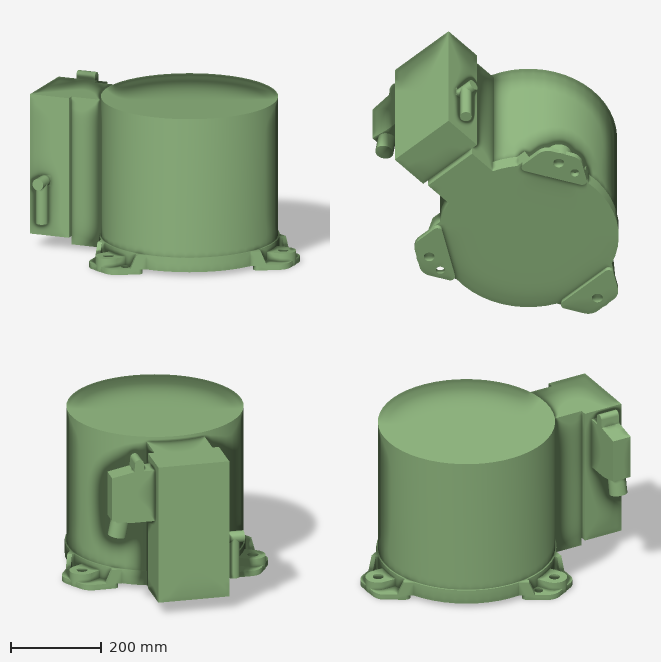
import cadquery as cq
import math

overall_height = 360.0
drum_diameter = 392.0
ring_radius = 199.5
ring_bottom = 11.0
ring_top = 44.0

box_outer_x = -348.0
box_inner_x = -255.5
box_width = 162.0
box_bottom = 29.5
box_top = 349.0
neck_width = 132.5

foot_spacing = 120.0
foot_inner_x = 181.0
foot_outer_x = 252.0
foot_edge_distance = 162.5
foot_edge_angle = 60.0
foot_inner_round = 11.0
foot_outer_round = 31.0
foot_plate_top = 12.5
rib_thickness = 11.0
rib_top_end = 138.5
rib_foot_end = 151.5
rib_root_width = 21.0
boss_x = 225.0
boss_radius = 28.0
boss_top = 31.0
boss_hole_diameter = 24.0
side_hole_diameter = 20.0
side_hole_x = 209.5
side_hole_y = 42.0

pipe_diameter = 26.0
pipe_x = -312.0
elbow_z = 155.0
elbow_end_y = -123.0
drop_pipe_y = -100.0
drop_pipe_bottom = 61.5
pad_thickness = 2.0

connector_x = -294.0
connector_width = 44.5
connector_end_y = 178.0
connector_bottom = 211.0
connector_top = 331.0
connector_slope = 11.3
lower_slope_start_y = 136.0
tab_inner_y = 106.0
tab_outer_y = 126.0
tab_root_y = 127.5
tab_top = 358.5
cable_diameter = 40.0
cable_start_y = 154.5
cable_length = 39.0
cable_overlap = 6.0


def make_drum():
    base = cq.Workplane("XY").workplane(offset=ring_bottom)
    drum = base.circle(drum_diameter / 2).extrude(overall_height - ring_bottom)
    ring = base.circle(ring_radius).extrude(ring_top - ring_bottom)
    return drum.union(ring)


def make_box():
    box = (
        cq.Workplane("XY")
        .box(box_inner_x - box_outer_x, box_width, box_top - box_bottom, centered=(False, True, False))
        .translate((box_outer_x, 0, box_bottom))
    )
    neck = (
        cq.Workplane("XY")
        .box(-box_inner_x, neck_width, box_top - ring_bottom, centered=(False, True, False))
        .translate((box_inner_x, 0, ring_bottom))
    )
    return box.union(neck)


def slanted_side_y(x):
    angle = math.radians(foot_edge_angle)
    return (foot_edge_distance - x * math.cos(angle)) / math.sin(angle)


def make_foot_plate():
    inner_y = slanted_side_y(foot_inner_x)
    outer_y = slanted_side_y(foot_outer_x)
    return (
        cq.Workplane("XY")
        .polyline([(foot_inner_x, -inner_y), (foot_outer_x, -outer_y),
                   (foot_outer_x, outer_y), (foot_inner_x, inner_y)])
        .close()
        .extrude(foot_plate_top)
        .edges("|Z and <X").fillet(foot_inner_round)
        .edges("|Z and >X").fillet(foot_outer_round)
    )


def make_rib():
    rib = (
        cq.Workplane("YZ")
        .polyline([(0, ring_bottom), (rib_foot_end, ring_bottom), (rib_foot_end, foot_plate_top),
                   (rib_top_end, ring_top), (0, ring_top)])
        .close()
        .extrude(-rib_thickness)
        .translate((foot_edge_distance, 0, 0))
    )
    rib_face_x = foot_edge_distance - rib_thickness
    root_face_x = foot_edge_distance - rib_root_width
    flare_end = rib_top_end - (rib_root_width - rib_thickness)
    flare = (
        cq.Workplane("XY")
        .workplane(offset=ring_bottom)
        .polyline([(rib_face_x, rib_top_end), (rib_face_x, flare_end), (root_face_x, flare_end)])
        .close()
        .extrude(ring_top - ring_bottom)
    )
    return rib.union(flare).rotate((0, 0, 0), (0, 0, 1), -foot_edge_angle)


def make_foot(side_hole_side):
    rib = make_rib()
    boss = (
        cq.Workplane("XY")
        .moveTo(foot_inner_x, -boss_radius)
        .lineTo(boss_x, -boss_radius)
        .threePointArc((boss_x + boss_radius, 0), (boss_x, boss_radius))
        .lineTo(foot_inner_x, boss_radius)
        .close()
        .extrude(boss_top)
    )
    foot = make_foot_plate().union(rib).union(rib.mirror("XZ")).union(boss)
    foot = foot.cut(cq.Workplane("XY").center(boss_x, 0).circle(boss_hole_diameter / 2).extrude(boss_top))
    if side_hole_side:
        side_hole = cq.Workplane("XY").center(side_hole_x, side_hole_side * side_hole_y)
        foot = foot.cut(side_hole.circle(side_hole_diameter / 2).extrude(foot_plate_top))
    return foot


def make_pipe_elbow():
    wall_y = -box_width / 2
    pad = (
        cq.Workplane("XY")
        .box(pipe_diameter, pad_thickness, pipe_diameter)
        .translate((pipe_x, wall_y - pad_thickness / 2, elbow_z))
    )
    outlet = (
        cq.Workplane("XZ", origin=(pipe_x, wall_y, elbow_z))
        .circle(pipe_diameter / 2)
        .extrude(wall_y - elbow_end_y)
    )
    drop_pipe = (
        cq.Workplane("XY", origin=(pipe_x, drop_pipe_y, drop_pipe_bottom))
        .circle(pipe_diameter / 2)
        .extrude(elbow_z - drop_pipe_bottom)
    )
    return pad.union(outlet).union(drop_pipe)


def make_connector():
    wall_y = box_width / 2
    slope = math.tan(math.radians(connector_slope))
    tab_radius = (tab_outer_y - tab_inner_y) / 2
    tab_shoulder = tab_top - tab_radius
    upper_end_z = connector_top - slope * (connector_end_y - tab_root_y)
    lower_end_z = connector_bottom + slope * (connector_end_y - lower_slope_start_y)
    body = (
        cq.Workplane("YZ")
        .moveTo(wall_y, connector_bottom)
        .lineTo(lower_slope_start_y, connector_bottom)
        .lineTo(connector_end_y, lower_end_z)
        .lineTo(connector_end_y, upper_end_z)
        .lineTo(tab_root_y, connector_top)
        .lineTo(tab_outer_y, tab_shoulder)
        .threePointArc((tab_inner_y + tab_radius, tab_top), (tab_inner_y, tab_shoulder))
        .lineTo(tab_inner_y, connector_top)
        .lineTo(wall_y, connector_top)
        .close()
        .extrude(connector_width / 2, both=True)
        .translate((connector_x, 0, 0))
    )
    cable_start_z = connector_bottom + slope * (cable_start_y - lower_slope_start_y)
    cable = (
        cq.Workplane("XY")
        .workplane(offset=-cable_length)
        .circle(cable_diameter / 2)
        .extrude(cable_length + cable_overlap)
        .rotate((0, 0, 0), (1, 0, 0), connector_slope)
        .translate((connector_x, cable_start_y, cable_start_z))
    )
    return body.union(cable)


result = make_drum().union(make_box())
for position, side_hole_side in enumerate([0, -1, 1]):
    foot = make_foot(side_hole_side).rotate((0, 0, 0), (0, 0, 1), position * foot_spacing)
    result = result.union(foot)
result = result.union(make_pipe_elbow()).union(make_connector())